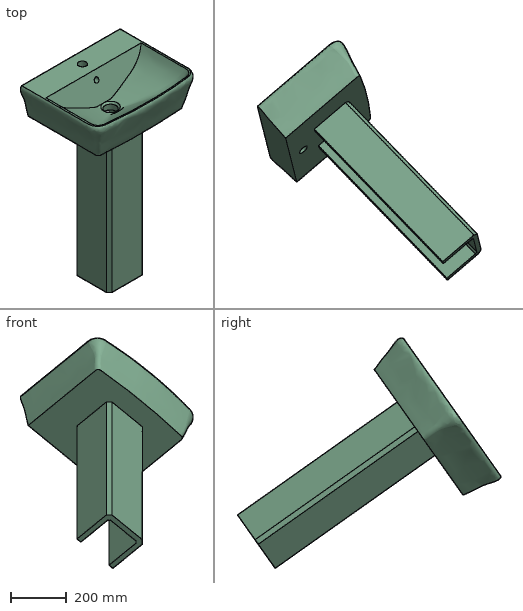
import cadquery as cq
import math

AXIS_STEP = math.sqrt(1 / 2)
TILTED_WIDTH_AXIS = (AXIS_STEP, math.sqrt(1 / 6), -math.sqrt(1 / 3))
TILTED_UP_AXIS = (0, math.sqrt(2 / 3), math.sqrt(1 / 3))

basin_height = 150.0
side_reach = 256.0
front_reach = 390.0
outer_levels = [
    (0, 7.0, 6.0, 46.0, 12.0),
    (11.0, 0, 0, 46.0, 12.0),
    (34.0, 5.0, 3.0, 40.0, 12.0),
    (61.0, 17.0, 12.0, 26.0, 11.0),
    (104, 28, 24.0, 16.0, 9),
    (basin_height, 40.0, 35.0, 13.0, 8.0),
]

deck_depth = 115.0
bowl_half_width = 241.0
bowl_front = 378.0
bowl_corner = 38
bowl_bow = 12.0
bowl_depth = 117.0
bowl_levels = [(0, 0), (28, 0.1), (57, 0.27), (82.0, 0.53), (104, 0.8), (bowl_depth, 1)]

drain_offset = 201.0
drain_rim_radius = 35.0
drain_radius = 27.0
drain_taper_depth = 8.0
drain_corner = 5.0
tap_offset = 58.5
tap_radius = 18.0
overflow_radius = 10.0
overflow_depth = 35.0
overflow_length = 28
overflow_start = 141.5

pedestal_length = 700.0
pedestal_width = 182.0
pedestal_back = 122.0
pedestal_front = 285.0
pedestal_wall = 20.0
outer_chamfer = 14.0
inner_chamfer = 8.0


def between(start, end, fraction):
    return start + (end - start) * fraction


def rounded_outline(half_width, back, front, radius, bow, depth):
    """Closed outline: straight back and sides, rounded front corners, front edge bowed outwards."""
    straight_half = half_width - radius
    side_end = radius - front
    diagonal = radius * AXIS_STEP
    return (
        cq.Workplane("XY", origin=(0, 0, -depth))
        .moveTo(half_width, -back)
        .lineTo(-half_width, -back)
        .lineTo(-half_width, side_end)
        .threePointArc((-straight_half - diagonal, side_end - diagonal), (-straight_half, -front))
        .threePointArc((0, -front - bow), (straight_half, -front))
        .threePointArc((straight_half + diagonal, side_end - diagonal), (half_width, side_end))
        .close()
        .val()
    )


def basin_block():
    outlines = [
        rounded_outline(side_reach - side_inset, 0, front_reach - front_inset, radius, bow, depth)
        for depth, side_inset, front_inset, radius, bow in outer_levels
    ]
    return cq.Workplane(cq.Solid.makeLoft(outlines))


def bowl_cavity():
    """The back wall slopes evenly; the sides and front curve in towards the drain."""
    outlines = []
    for depth, fraction in bowl_levels:
        half_width = between(bowl_half_width, drain_rim_radius, fraction)
        back = between(deck_depth, drain_offset - drain_rim_radius, depth / bowl_depth)
        front = between(bowl_front, drain_offset + drain_rim_radius, fraction)
        radius = between(bowl_corner, drain_corner, fraction)
        bow = between(bowl_bow, drain_corner, fraction)
        outlines.append(rounded_outline(half_width, back, front, radius, bow, depth))
    return cq.Workplane(cq.Solid.makeLoft(outlines))


def vertical_hole(offset, radius):
    return cq.Workplane("XY", origin=(0, -offset, -basin_height)).circle(radius).extrude(basin_height)


def drain_taper():
    return (
        cq.Workplane("XY", origin=(0, -drain_offset, -bowl_depth))
        .circle(drain_rim_radius)
        .workplane(offset=-drain_taper_depth)
        .circle(drain_radius)
        .loft()
    )


def overflow_hole():
    start = (0, -overflow_start, -overflow_depth)
    return cq.Workplane("XZ", origin=start).circle(overflow_radius).extrude(-overflow_length)


def make_basin():
    return (
        basin_block()
        .cut(bowl_cavity())
        .cut(vertical_hole(drain_offset, drain_radius))
        .cut(drain_taper())
        .cut(vertical_hole(tap_offset, tap_radius))
        .cut(overflow_hole())
    )


def chamfered_column(half_width, front, chamfer):
    """Upright block from the pedestal back to the given front, with its two front edges chamfered."""
    return (
        cq.Workplane("XY", origin=(0, 0, -basin_height))
        .moveTo(-half_width, -pedestal_back)
        .lineTo(-half_width, chamfer - front)
        .lineTo(chamfer - half_width, -front)
        .lineTo(half_width - chamfer, -front)
        .lineTo(half_width, chamfer - front)
        .lineTo(half_width, -pedestal_back)
        .close()
        .extrude(-pedestal_length)
    )


def make_pedestal():
    half_width = pedestal_width / 2
    outside = chamfered_column(half_width, pedestal_front, outer_chamfer)
    channel = chamfered_column(half_width - pedestal_wall, pedestal_front - pedestal_wall, inner_chamfer)
    return outside.cut(channel)


tilt = cq.Location(cq.Plane((0, 0, 0), TILTED_WIDTH_AXIS, TILTED_UP_AXIS))
basin = make_basin().solids().val().moved(tilt)
pedestal = make_pedestal().solids().val().moved(tilt)
result = cq.Compound.makeCompound([basin, pedestal])